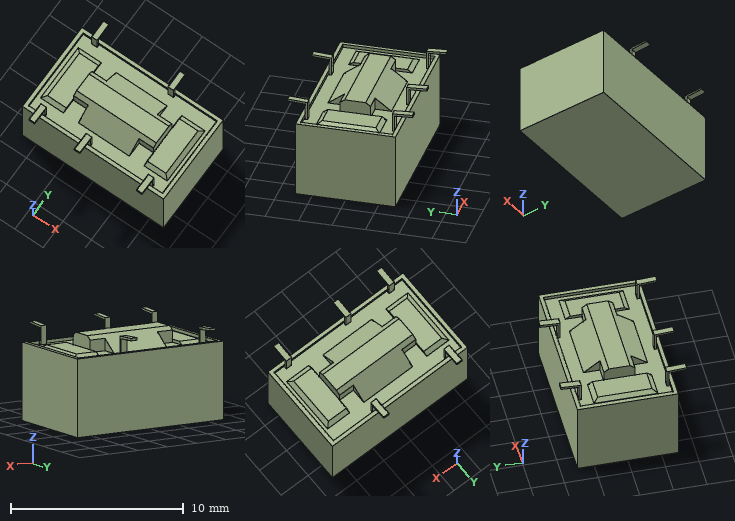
import cadquery as cq

case_length = 10.0
case_width = 6.0
case_height = 4.65
end_wall = 0.27
side_wall = 0.25
recess_depth = 0.2
floor_z = case_height - recess_depth

ridge_length = 5.64
ridge_top_z = case_height + 0.75
ridge_top_width = 1.26
ridge_base_width = 3.8
flank_length = 3.6
neck_width = 1.84

pad_inner_x = 2.85
pad_outer_x = 4.48
pad_width = ridge_base_width
pad_bevel = 0.29
pad_height = 0.18

pin_width = 0.4
pin_thickness = 0.14
pin_inner_y = 2.54
pin_tip_y = 3.75
pin_tip_slant = 0.01
pin_tip_z = 5.65
pin_rise = 0.07
front_pin_x = (-3.8, -0.6, 3.8)
back_pin_x = (-3.8, 1.6)


def make_case():
    block = cq.Workplane("XY").box(case_length, case_width, case_height, centered=(True, True, False))
    recess = (
        cq.Workplane("XY", origin=(0, 0, floor_z))
        .rect(case_length - 2 * end_wall, case_width - 2 * side_wall)
        .extrude(recess_depth)
    )
    return block.cut(recess)


def make_ridge():
    profile = [
        (-ridge_base_width / 2, floor_z),
        (ridge_base_width / 2, floor_z),
        (ridge_top_width / 2, ridge_top_z),
        (-ridge_top_width / 2, ridge_top_z),
    ]
    prism = cq.Workplane("YZ").polyline(profile).close().extrude(ridge_length / 2, both=True)
    height = ridge_top_z - floor_z
    base = cq.Workplane("XY", origin=(0, 0, floor_z))
    neck = base.rect(ridge_length, neck_width).extrude(height)
    flanks = base.rect(flank_length, ridge_base_width).extrude(height)
    return prism.intersect(neck.union(flanks))


def make_pads():
    """A full-length frustum with its middle removed leaves the two end pads."""
    frustum = (
        cq.Workplane("XY", origin=(0, 0, floor_z))
        .rect(2 * pad_outer_x, pad_width)
        .workplane(offset=pad_height)
        .rect(2 * (pad_outer_x - pad_bevel), pad_width - 2 * pad_bevel)
        .loft(ruled=True)
    )
    middle = (
        cq.Workplane("XY", origin=(0, 0, floor_z))
        .rect(2 * pad_inner_x, pad_width)
        .extrude(pad_height)
    )
    return frustum.cut(middle)


def make_pin(x, side):
    """Upright leg with an outward foot; side is -1 at the front and +1 at the back."""
    leg_outer_y = pin_inner_y + pin_thickness
    bend_z = pin_tip_z - pin_rise
    profile = [
        (pin_inner_y, floor_z),
        (leg_outer_y, floor_z),
        (leg_outer_y, bend_z - pin_thickness),
        (pin_tip_y, pin_tip_z - pin_thickness),
        (pin_tip_y - pin_tip_slant, pin_tip_z),
        (pin_inner_y, bend_z),
    ]
    points = [(side * y, z) for y, z in profile]
    return (
        cq.Workplane("YZ", origin=(x, 0, 0))
        .polyline(points)
        .close()
        .extrude(pin_width / 2, both=True)
    )


result = make_case().union(make_ridge()).union(make_pads())
for pin_x in front_pin_x:
    result = result.union(make_pin(pin_x, -1))
for pin_x in back_pin_x:
    result = result.union(make_pin(pin_x, 1))